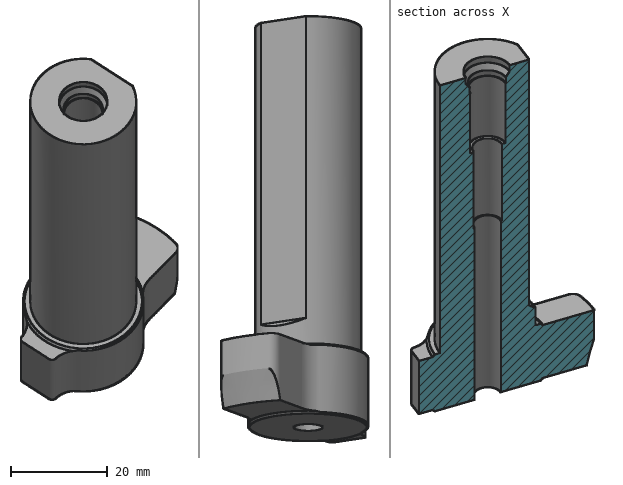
import cadquery as cq
import math

total_height = 85.0
collar_height = 15.0

shaft_radius = 11.0
flat_distance = 9.5
flat_start = 20.7
flat_runout = 1.2

collar_radius = 12.5
rim_radius = 12.15
rim_step = 0.5

lug_span = 40.23

long_lug_half_width = 7.0
long_lug_reach = 24.48
long_lug_corner_radius = 2.0
long_lug_blend_radius = 6.0
tip_bevel_top = 7.0
tip_bevel_angle = 15.0

short_lug_half_width = 4.5
short_lug_reach = lug_span - long_lug_reach
short_lug_corner_radius = 1.0
short_lug_blend_radius = 5.5

mouth_radius = 5.0
mouth_depth = 1.6
cone_depth = 1.3
socket_radius = 4.1
socket_depth = 4.3
pocket_radius = 4.0
pocket_depth = 20.0
guide_radius = 3.2
guide_depth = 40.0
through_radius = 3.0


def make_shaft():
    """Round shaft with the flat and its sloped run-out removed."""
    shaft = cq.Workplane("XY").circle(shaft_radius).extrude(total_height)
    flat_cut = (
        cq.Workplane("YZ")
        .moveTo(flat_distance, total_height)
        .lineTo(flat_distance, flat_start)
        .lineTo(shaft_radius, flat_start - flat_runout)
        .lineTo(shaft_radius, total_height)
        .close()
        .extrude(shaft_radius, both=True)
    )
    return shaft.cut(flat_cut)


def mirror_x(point):
    return (-point[0], point[1])


def blend_points(half_width, blend_radius):
    """Start, middle and end of the concave blend from the collar to a lug side at +X."""
    center_x = half_width + blend_radius
    center_distance = collar_radius + blend_radius
    center_y = math.sqrt(center_distance**2 - center_x**2)
    angle = math.atan2(center_y, center_x)
    on_collar = (collar_radius * math.cos(angle), collar_radius * math.sin(angle))
    on_side = (half_width, center_y)
    middle_angle = math.pi + angle / 2
    middle = (
        center_x + blend_radius * math.cos(middle_angle),
        center_y + blend_radius * math.sin(middle_angle),
    )
    return on_collar, middle, on_side


def make_long_lug():
    """Lug pointing to +Y, with an arc tip and rounded corners."""
    on_collar, middle, on_side = blend_points(long_lug_half_width, long_lug_blend_radius)
    corner_center_x = long_lug_half_width - long_lug_corner_radius
    corner_distance = long_lug_reach - long_lug_corner_radius
    corner_center_y = math.sqrt(corner_distance**2 - corner_center_x**2)
    corner_angle = math.atan2(corner_center_y, corner_center_x)
    corner_start = (long_lug_half_width, corner_center_y)
    corner_middle = (
        corner_center_x + long_lug_corner_radius * math.cos(corner_angle / 2),
        corner_center_y + long_lug_corner_radius * math.sin(corner_angle / 2),
    )
    corner_end = (long_lug_reach * math.cos(corner_angle), long_lug_reach * math.sin(corner_angle))
    return (
        cq.Workplane("XY")
        .lineTo(*on_collar)
        .threePointArc(middle, on_side)
        .lineTo(*corner_start)
        .threePointArc(corner_middle, corner_end)
        .threePointArc((0, long_lug_reach), mirror_x(corner_end))
        .threePointArc(mirror_x(corner_middle), mirror_x(corner_start))
        .lineTo(*mirror_x(on_side))
        .threePointArc(mirror_x(middle), mirror_x(on_collar))
        .close()
        .extrude(collar_height)
    )


def make_short_lug():
    """Lug pointing to -Y, with a straight end and rounded corners."""
    on_collar, middle, on_side = blend_points(short_lug_half_width, short_lug_blend_radius)
    end_corner = (short_lug_half_width, short_lug_reach)
    return (
        cq.Workplane("XY")
        .lineTo(*on_collar)
        .threePointArc(middle, on_side)
        .lineTo(*end_corner)
        .lineTo(*mirror_x(end_corner))
        .lineTo(*mirror_x(on_side))
        .threePointArc(mirror_x(middle), mirror_x(on_collar))
        .close()
        .extrude(collar_height)
        .edges("|Z and >Y")
        .fillet(short_lug_corner_radius)
        .rotate((0, 0, 0), (0, 0, 1), 180)
    )


def make_turned_envelope():
    """Revolved envelope that shapes the rims, the lug faces and the tip bevel."""
    step_radius = rim_radius + rim_step
    bevel_radius = long_lug_reach - (tip_bevel_top - rim_step) * math.tan(math.radians(tip_bevel_angle))
    return (
        cq.Workplane("XZ")
        .lineTo(rim_radius, 0)
        .lineTo(step_radius, rim_step)
        .lineTo(bevel_radius, rim_step)
        .lineTo(long_lug_reach, tip_bevel_top)
        .lineTo(long_lug_reach, collar_height - rim_step)
        .lineTo(step_radius, collar_height - rim_step)
        .lineTo(rim_radius, collar_height)
        .lineTo(0, collar_height)
        .close()
        .revolve(360, (0, 0), (0, 1))
    )


def make_base():
    """Collar and lugs trimmed to the turned envelope."""
    collar = cq.Workplane("XY").circle(collar_radius).extrude(collar_height)
    return collar.union(make_long_lug()).union(make_short_lug()).intersect(make_turned_envelope())


def make_bore():
    """Stepped bore with a conical entry below its mouth."""
    cone_bottom = mouth_depth + cone_depth
    return (
        cq.Workplane("XZ")
        .moveTo(0, total_height)
        .lineTo(mouth_radius, total_height)
        .lineTo(mouth_radius, total_height - mouth_depth)
        .lineTo(socket_radius, total_height - cone_bottom)
        .lineTo(socket_radius, total_height - socket_depth)
        .lineTo(pocket_radius, total_height - socket_depth)
        .lineTo(pocket_radius, total_height - pocket_depth)
        .lineTo(guide_radius, total_height - pocket_depth)
        .lineTo(guide_radius, total_height - guide_depth)
        .lineTo(through_radius, total_height - guide_depth)
        .lineTo(through_radius, 0)
        .lineTo(0, 0)
        .close()
        .revolve(360, (0, 0), (0, 1))
    )


result = make_shaft().union(make_base()).cut(make_bore())